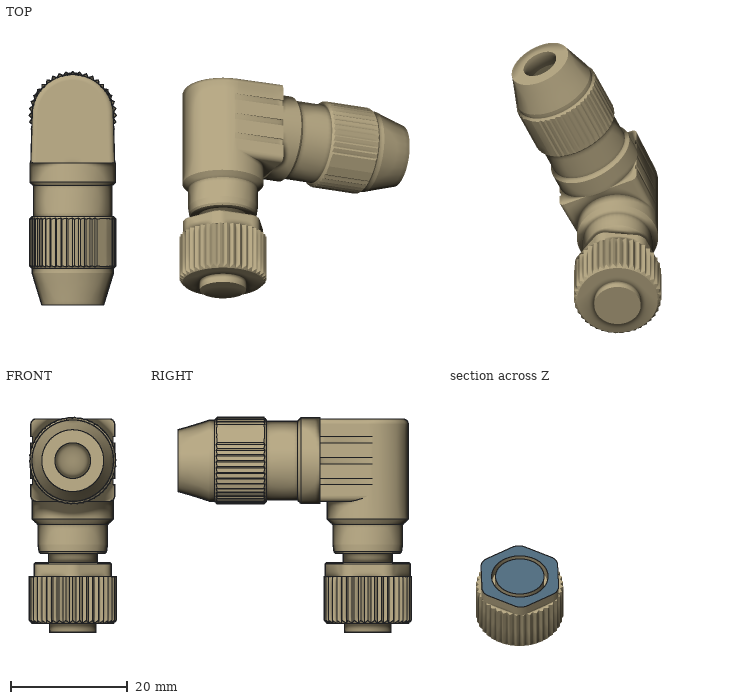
import cadquery as cq
import math


PLUG_LEAD_IN = 0.48
NUT_BOTTOM = 1.48
NUT_TOP = 9.55
HEX_TOP = 11.95
COLLAR_BOTTOM = 13.5
COLLAR_EDGE_TOP = 13.82
COLLAR_TAPER_TOP = 14.95
COLLAR_TOP = 18.4
HOUSING_BOTTOM = 19.38
BLOCK_BOTTOM = 22.37
BLOCK_TOP = 36.5

PLUG_RADIUS = 4.0
PLUG_TIP_RADIUS = 3.95
NECK_RADIUS = 8.4 / 2
COLLAR_RADIUS = 11.9 / 2
COLLAR_EDGE_RADIUS = 5.8
COLLAR_END_RADIUS = 5.55
HOUSING_RADIUS = 13.9 / 2

NUT_RADIUS = 15.0 / 2
NUT_TOOTH_COUNT = 40
NUT_CHAMFER = 0.6
HEX_SIDES = 6
HEX_ACROSS_FLATS = 13.2
HEX_CORNER_RADIUS = 2.15
HEX_TOP_CHAMFER = 0.25
NECK_CLEARANCE_RADIUS = 9.6 / 2

BLOCK_FRONT = 8.15
BLOCK_FRONT_HALF_WIDTH = 7.2
BLOCK_FILLET = 0.95
GRIP_SLOT_HEIGHT = 1.08
GRIP_SLOT_PITCH = 3.55
GRIP_SLOT_COUNT = 3
GRIP_SLOT_HALF_SPACING = 6.9

GLAND_AXIS_Z = 29.35
OVERALL_LENGTH = 39.95
GLAND_END = OVERALL_LENGTH - NUT_RADIUS
RING_CHAMFER_START = 11.43
RING_RADIUS = 14.7 / 2
SLEEVE_RADIUS = 13.5 / 2
SLEEVE_START = RING_CHAMFER_START + RING_RADIUS - SLEEVE_RADIUS
KNURL_START = 17.35
KNURL_END = 26.15
KNURL_CHAMFER = 0.45
CONE_START = 27.05
CAP_RADIUS = 13.9 / 2
CAP_END_RADIUS = 10.6 / 2
BORE_RADIUS = 6.1 / 2
BORE_DEPTH = 2.95

KNURL_TIP_RADIUS = 7.45
KNURL_ROOT_RADIUS = 7.25
KNURL_POLE_ANGLE = 134.2
KNURL_PITCH_ANGLE = 8.0
KNURL_RISE_ANGLE = 2.2
KNURL_FIRST_TIP = 6.2
KNURL_UPPER_TEETH = 10
KNURL_LOWER_TEETH = 9
KNURL_FLAT_END_ANGLE = 96.5
KNURL_FLAT_END_RADIUS = 7.35


def polar(radius, degrees):
    angle = math.radians(degrees)
    return (radius * math.cos(angle), radius * math.sin(angle))


def turned(profile):
    """Solid of revolution about Z from (radius, height) points, closed along the axis."""
    points = [(0, profile[0][1])] + profile + [(0, profile[-1][1])]
    return cq.Workplane("XZ").polyline(points).close().revolve(360, (0, 0), (0, 1))


def along_gland(solid):
    """Turn a solid built upward along +Z so that it runs along -Y on the gland axis."""
    return solid.rotate((0, 0, 0), (1, 0, 0), 90).translate((0, 0, GLAND_AXIS_Z))


def stem():
    return turned([
        (PLUG_TIP_RADIUS, 0),
        (PLUG_RADIUS, PLUG_LEAD_IN),
        (PLUG_RADIUS, NUT_BOTTOM),
        (NECK_RADIUS, NUT_BOTTOM),
        (NECK_RADIUS, COLLAR_BOTTOM),
        (COLLAR_END_RADIUS, COLLAR_BOTTOM),
        (COLLAR_EDGE_RADIUS, COLLAR_EDGE_TOP),
        (COLLAR_RADIUS, COLLAR_TAPER_TOP),
        (COLLAR_RADIUS, COLLAR_TOP),
        (HOUSING_RADIUS, HOUSING_BOTTOM),
        (HOUSING_RADIUS, BLOCK_TOP),
    ]).faces(">Z").edges().fillet(BLOCK_FILLET)


def nut():
    half_pitch = 180 / NUT_TOOTH_COUNT
    half_pitch_rad = math.radians(half_pitch)
    root_radius = NUT_RADIUS / (math.cos(half_pitch_rad) + math.sin(half_pitch_rad))
    outline = []
    for tooth in range(NUT_TOOTH_COUNT):
        tip_angle = 2 * half_pitch * tooth
        outline.append(polar(NUT_RADIUS, tip_angle))
        outline.append(polar(root_radius, tip_angle + half_pitch))
    grip = cq.Workplane("XY").workplane(offset=NUT_BOTTOM).polyline(outline).close()
    grip = grip.extrude(NUT_TOP - NUT_BOTTOM)
    envelope = turned([
        (NUT_RADIUS - NUT_CHAMFER, NUT_BOTTOM),
        (NUT_RADIUS, NUT_BOTTOM + NUT_CHAMFER),
        (NUT_RADIUS, NUT_TOP),
    ])
    half_side_angle = 180 / HEX_SIDES
    corner_circle = HEX_ACROSS_FLATS / math.cos(math.radians(half_side_angle))
    wrench_hex = (
        cq.Workplane("XY").workplane(offset=NUT_TOP)
        .polygon(HEX_SIDES, corner_circle)
        .extrude(HEX_TOP - NUT_TOP)
        .rotate((0, 0, 0), (0, 0, 1), half_side_angle)
        .edges("|Z").fillet(HEX_CORNER_RADIUS)
        .faces(">Z").edges().chamfer(HEX_TOP_CHAMFER)
    )
    wrench_hex = wrench_hex.cut(
        cq.Workplane("XY").workplane(offset=NUT_TOP).circle(NECK_CLEARANCE_RADIUS).extrude(HEX_TOP - NUT_TOP)
    )
    return grip.intersect(envelope).union(wrench_hex)


def block():
    """Elbow block: flared sides tangent to the round back, with rounded long edges."""
    reach = math.hypot(BLOCK_FRONT, BLOCK_FRONT_HALF_WIDTH)
    front_corner = math.atan2(-BLOCK_FRONT, BLOCK_FRONT_HALF_WIDTH)
    tangent_angle = math.degrees(front_corner + math.acos(HOUSING_RADIUS / reach))
    tangent_x, tangent_y = polar(HOUSING_RADIUS, tangent_angle)
    body = (
        cq.Workplane("XY").workplane(offset=BLOCK_BOTTOM)
        .moveTo(-BLOCK_FRONT_HALF_WIDTH, -BLOCK_FRONT)
        .lineTo(BLOCK_FRONT_HALF_WIDTH, -BLOCK_FRONT)
        .lineTo(tangent_x, tangent_y)
        .threePointArc((0, HOUSING_RADIUS), (-tangent_x, tangent_y))
        .close()
        .extrude(BLOCK_TOP - BLOCK_BOTTOM)
    )
    return body.edges("(>Z or <Z) and (not <Y)").fillet(BLOCK_FILLET)


def grip_slots():
    """Cutters for the finger grooves on both sides of the block."""
    slot_length = BLOCK_FRONT + HOUSING_RADIUS
    slot_depth = HOUSING_RADIUS
    slots = cq.Workplane("XY")
    for side in (-1, 1):
        for row in range(GRIP_SLOT_COUNT):
            height = GLAND_AXIS_Z + (row - (GRIP_SLOT_COUNT - 1) / 2) * GRIP_SLOT_PITCH
            slot = cq.Workplane("XY").box(slot_depth, slot_length, GRIP_SLOT_HEIGHT)
            slot_x = side * (GRIP_SLOT_HALF_SPACING + slot_depth / 2)
            slots = slots.add(slot.translate((slot_x, slot_length / 2 - BLOCK_FRONT, height)))
    return slots.combine()


def gland():
    body = turned([
        (RING_RADIUS, BLOCK_FRONT),
        (RING_RADIUS, RING_CHAMFER_START),
        (SLEEVE_RADIUS, SLEEVE_START),
        (SLEEVE_RADIUS, KNURL_START),
        (CAP_RADIUS, KNURL_START),
        (CAP_RADIUS, CONE_START),
        (CAP_END_RADIUS, GLAND_END),
    ])
    bore = cq.Workplane("XY").workplane(offset=GLAND_END - BORE_DEPTH).circle(BORE_RADIUS).extrude(BORE_DEPTH)
    return along_gland(body.union(gland_knurl()).cut(bore))


def knurl_half_outline():
    """(radius, angle from the upper pole) points from the upper pole round to the lower one."""
    points = [(KNURL_TIP_RADIUS, 0)]
    for tooth in range(KNURL_UPPER_TEETH):
        tip_angle = KNURL_FIRST_TIP + tooth * KNURL_PITCH_ANGLE
        points.append((KNURL_ROOT_RADIUS, tip_angle - KNURL_RISE_ANGLE))
        points.append((KNURL_TIP_RADIUS, tip_angle))
    points.append((KNURL_FLAT_END_RADIUS, KNURL_FLAT_END_ANGLE))
    for tooth in reversed(range(KNURL_LOWER_TEETH)):
        tip_angle = 180 - KNURL_FIRST_TIP - tooth * KNURL_PITCH_ANGLE
        points.append((KNURL_TIP_RADIUS, tip_angle))
        points.append((KNURL_ROOT_RADIUS, tip_angle + KNURL_RISE_ANGLE))
    points.append((KNURL_TIP_RADIUS, 180))
    return points


def gland_knurl():
    half = knurl_half_outline()
    outline = [polar(radius, KNURL_POLE_ANGLE + angle) for radius, angle in half]
    outline += [polar(radius, KNURL_POLE_ANGLE - angle) for radius, angle in half[-2:0:-1]]
    teeth = cq.Workplane("XY").workplane(offset=KNURL_START).polyline(outline).close()
    teeth = teeth.extrude(KNURL_END - KNURL_START)
    envelope = turned([
        (KNURL_TIP_RADIUS - KNURL_CHAMFER, KNURL_START),
        (KNURL_TIP_RADIUS, KNURL_START + KNURL_CHAMFER),
        (KNURL_TIP_RADIUS, KNURL_END - KNURL_CHAMFER),
        (KNURL_TIP_RADIUS - KNURL_CHAMFER, KNURL_END),
    ])
    return teeth.intersect(envelope)


housing = stem().union(block()).cut(grip_slots())
result = housing.union(nut()).union(gland())